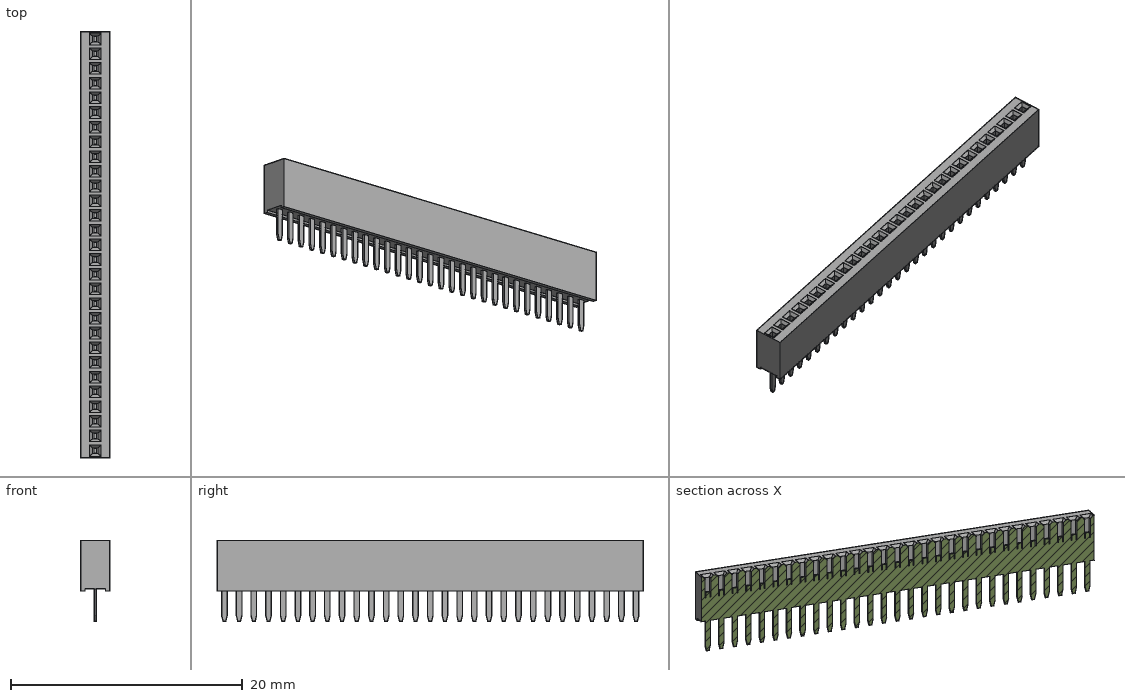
import cadquery as cq

contact_count = 29
pitch = 1.27
overall_height = 7.0

body_width = 2.54
body_length = contact_count * pitch
body_height = 4.4
rail_width = 0.4
rail_height = 0.2

funnel_mouth = 1.0
socket_side = 0.5
funnel_depth = (funnel_mouth - socket_side) / 2
socket_depth = 2.0

contact_thickness = 0.2
blade_width = 0.4
blade_height = 0.5
pin_width = 0.5
pin_root = 0.5
tip_width = 0.25
tip_height = 0.5

socket_floor = body_height - socket_depth
pin_bottom = body_height - overall_height
pin_shoulder = pin_bottom + tip_height
pin_top = rail_height + pin_root

first_contact_y = (pitch - body_length) / 2
contact_positions = [(0, first_contact_y + i * pitch) for i in range(contact_count)]


def make_housing():
    """Block with a shallow channel along its underside, leaving a rail on each side."""
    block = cq.Workplane("XY").box(body_width, body_length, body_height, centered=(True, True, False))
    channel_width = body_width - 2 * rail_width
    channel = cq.Workplane("XY").box(channel_width, body_length, rail_height, centered=(True, True, False))
    return block.cut(channel)


def make_socket():
    """Void of one socket: a tapered square lead-in above a square well."""
    top = cq.Workplane("XY").workplane(offset=body_height)
    funnel = (
        top.rect(funnel_mouth, funnel_mouth)
        .workplane(offset=-funnel_depth)
        .rect(socket_side, socket_side)
        .loft(ruled=True)
    )
    well = top.rect(socket_side, socket_side).extrude(-socket_depth)
    return funnel.union(well)


def make_blade():
    """Flat contact end standing on the socket floor."""
    floor = cq.Workplane("XY").workplane(offset=socket_floor)
    return floor.rect(contact_thickness, blade_width).extrude(blade_height)


def make_pin():
    """Flat solder pin with a tapered tip."""
    return (
        cq.Workplane("YZ")
        .moveTo(-pin_width / 2, pin_top)
        .lineTo(-pin_width / 2, pin_shoulder)
        .lineTo(-tip_width / 2, pin_bottom)
        .lineTo(tip_width / 2, pin_bottom)
        .lineTo(pin_width / 2, pin_shoulder)
        .lineTo(pin_width / 2, pin_top)
        .close()
        .extrude(contact_thickness / 2, both=True)
    )


def at_each_contact(shape):
    """Copies of a shape at every contact position."""
    solid = shape.val()
    row = cq.Workplane("XY").pushPoints(contact_positions)
    return row.eachpoint(lambda location: solid.moved(location), combine=False)


socket_voids = at_each_contact(make_socket().cut(make_blade()))
pins = at_each_contact(make_pin())

socketed_housing = make_housing().cut(cq.Workplane(cq.Compound.makeCompound(socket_voids.vals())))
connector = socketed_housing.union(cq.Workplane(cq.Compound.makeCompound(pins.vals())))
result = cq.Workplane(connector.solids().val())